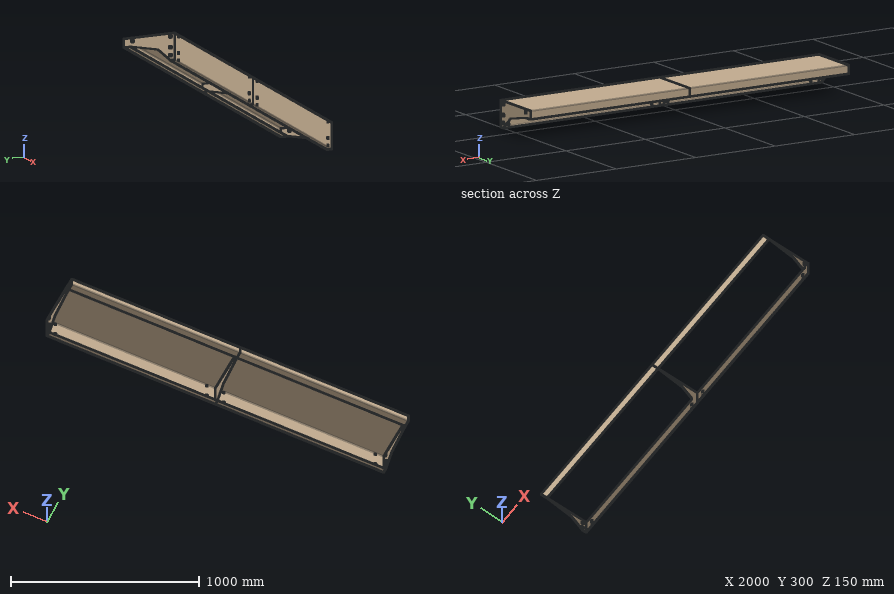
import cadquery as cq


LENGTH = 2000.0
DEPTH = 300.0
WALL_HEIGHT = 150.0
LIP_HEIGHT = 50.0
LIP_BOTTOM = WALL_HEIGHT - LIP_HEIGHT

SHEET = 2.0
BEND_RADIUS = 5.0
INNER_RADIUS = BEND_RADIUS - SHEET
WALL_RETURN = 28.0
LIP_RETURN = 40.0

KNEE_Y = 100.0
KNEE_Z = 68.0
GUSSET_COUNT = 3
GUSSET_SPACING = (LENGTH - SHEET) / (GUSSET_COUNT - 1)

GUSSET_HOLE_RADIUS = 7.5
TOP_HOLE_Z = 132.0
GUSSET_HOLES = [(25.0, 28.0), (25.0, 72.0), (25.0, TOP_HOLE_Z), (248.0, TOP_HOLE_Z)]

COLUMN_OFFSET = 50.0
COLUMNS_X = [
    COLUMN_OFFSET,
    LENGTH / 2 - COLUMN_OFFSET,
    LENGTH / 2 + COLUMN_OFFSET,
    LENGTH - COLUMN_OFFSET,
]
FIXING_HOLE_RADIUS = 5.0
FIXING_HOLE_Z = 50.0
EDGE_HOLE_RADIUS = 5.0
EDGE_HOLE_INSET = 10.0


def folded_prism(outline, length, radius):
    """Extrude an outline along X and round its corners on the wall side and on the lip side."""
    prism = cq.Workplane("YZ").polyline(outline).close().extrude(length)
    return prism.edges("|X and <Y").fillet(radius).edges("|X and >Y").fillet(radius)


def path_around(inset):
    """Corners from the wall return, over the top, to the lip return, on a face inset into the sheet."""
    return [
        (WALL_RETURN, inset),
        (inset, inset),
        (inset, WALL_HEIGHT - inset),
        (DEPTH - inset, WALL_HEIGHT - inset),
        (DEPTH - inset, LIP_BOTTOM + inset),
        (DEPTH - LIP_RETURN, LIP_BOTTOM + inset),
    ]


def wall_holes(radius, heights):
    """Cutters for holes of one radius, at the given heights of every column."""
    points = [(x, z) for x in COLUMNS_X for z in heights]
    return cq.Workplane("XZ").pushPoints(points).circle(radius).extrude(-SHEET)


def make_skin():
    """The folded sheet: wall face, top and lip, with a narrow return along each lower edge."""
    outside = path_around(0)
    return_ends = (outside[0], outside[-1])
    inside = [return_ends[0], *path_around(SHEET), return_ends[1]]
    sheet = folded_prism(outside, LENGTH, BEND_RADIUS).cut(folded_prism(inside, LENGTH, INNER_RADIUS))
    fixing_holes = wall_holes(FIXING_HOLE_RADIUS, [FIXING_HOLE_Z])
    edge_holes = wall_holes(EDGE_HOLE_RADIUS, [EDGE_HOLE_INSET, WALL_HEIGHT - EDGE_HOLE_INSET])
    return sheet.cut(fixing_holes).cut(edge_holes)


def make_gusset(start_x, with_holes):
    """A plate across the inside of the skin, starting at start_x."""
    outline = [*path_around(SHEET), (KNEE_Y, KNEE_Z)]
    plate = folded_prism(outline, SHEET, INNER_RADIUS)
    if with_holes:
        holes = cq.Workplane("YZ").pushPoints(GUSSET_HOLES).circle(GUSSET_HOLE_RADIUS).extrude(SHEET)
        plate = plate.cut(holes)
    return plate.translate((start_x, 0, 0))


skin = make_skin()

gussets = []
for index in range(GUSSET_COUNT):
    is_end = index in (0, GUSSET_COUNT - 1)
    gussets.append(make_gusset(index * GUSSET_SPACING, is_end).val())

result = cq.Compound.makeCompound([skin.val(), *gussets])